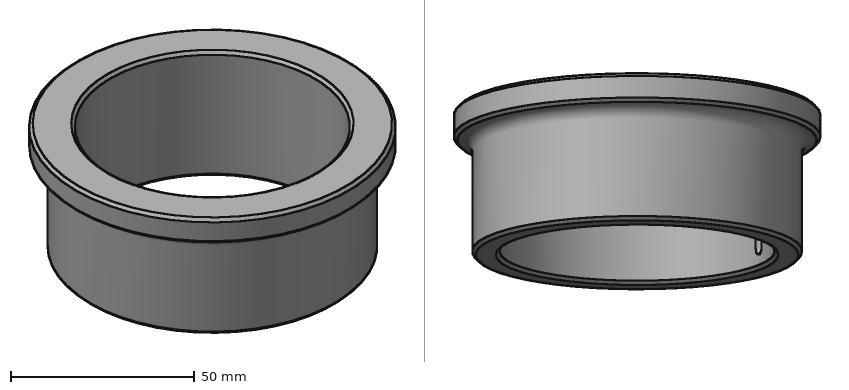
import cadquery as cq
import math

height = 40.0
bore_radius = 75.0 / 2
body_radius = 90.0 / 2
flange_radius = 100.0 / 2
flange_thickness = 8.0
edge_chamfer = 1.0
neck_radius = 3.5

groove_radius = 3.5 / 2
groove_end_margin = 4.0

flange_bottom = height - flange_thickness


def make_bushing():
    """Revolve the half section of the bushing about Z."""
    arc_offset = neck_radius * (1 - math.sqrt(0.5))
    section = (
        cq.Workplane("XZ")
        .moveTo(bore_radius + edge_chamfer, 0)
        .lineTo(body_radius - edge_chamfer, 0)
        .lineTo(body_radius, edge_chamfer)
        .lineTo(body_radius, flange_bottom - neck_radius)
        .threePointArc(
            (body_radius + arc_offset, flange_bottom - arc_offset),
            (body_radius + neck_radius, flange_bottom),
        )
        .lineTo(flange_radius - edge_chamfer, flange_bottom)
        .lineTo(flange_radius, flange_bottom + edge_chamfer)
        .lineTo(flange_radius, height - edge_chamfer)
        .lineTo(flange_radius - edge_chamfer, height)
        .lineTo(bore_radius + edge_chamfer, height)
        .lineTo(bore_radius, height - edge_chamfer)
        .lineTo(bore_radius, edge_chamfer)
        .close()
    )
    return section.revolve(360, (0, 0, 0), (0, 1, 0))


def make_groove_cutter():
    """Round rod with ball ends, centred on the bore wall."""
    low_end = groove_end_margin + groove_radius
    high_end = height - groove_end_margin - groove_radius
    cutter = (
        cq.Workplane("XY", origin=(bore_radius, 0, low_end))
        .circle(groove_radius)
        .extrude(high_end - low_end)
    )
    for ball_height in (low_end, high_end):
        ball = cq.Workplane("XY", origin=(bore_radius, 0, ball_height)).sphere(groove_radius)
        cutter = cutter.union(ball)
    return cutter


result = make_bushing().cut(make_groove_cutter())